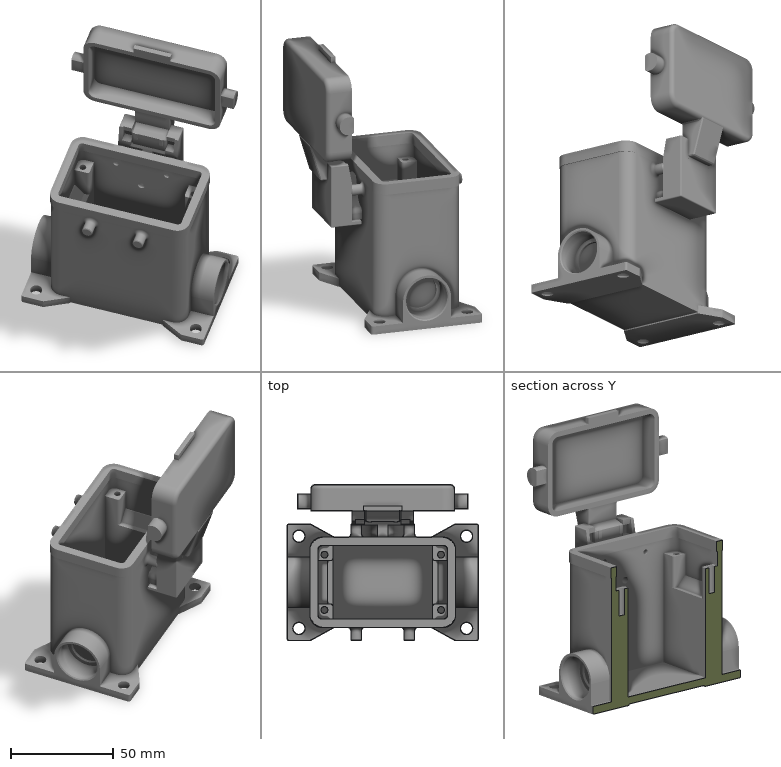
import cadquery as cq

box_length = 70.2
box_depth = 44.1
box_bottom = 0.7
box_corner_radius = 6.2
housing_top = 73.0
rim_bottom = 67.6
rim_length = 71.2
rim_depth = 44.3
floor_thickness = 4.0

mouth_length = 63.1
mouth_depth = 35.8
mouth_corner_radius = 1.9
cavity_relief = 0.4
cavity_corner_radius = 3.0

post_inner_x = 24.4
post_width_y = 7.3
post_top = 60.5
post_corner_radius = 1.2
post_hole_diameter = 3.3
post_hole_depth = 13.2
post_hole_x = 28.5
post_hole_y = 13.5
ledge_height = 44.5
ledge_slope_start_x = 26.9
ledge_wall_height = 49.5

foot_end_x = 46.8
foot_half_depth = 28.5
foot_thickness = 4.2
foot_shoulder_x = 35.4
foot_root_x = 23.7
foot_corner_radius = 1.0
foot_hole_diameter = 5.8
foot_hole_x = 41.0
foot_hole_y = 22.5

entry_radius = 12.3
entry_height = 15.2
entry_bore_radius = 10.6
entry_bore_depth = 11.7
entry_bore_chamfer = 0.5
knockout_radius = 8.6
knockout_depth = 1.3

peg_x = 13.0
peg_height = 63.5
peg_radius = 2.6
peg_root_fillet = 1.5
peg_end_chamfer = 0.4
peg_hole_diameter = 2.6

bracket_half_width = 15.1
bracket_back_y = 39.0
bracket_front_y = 28.1
bracket_top_front_y = 30.1
bracket_top = 77.6
bracket_bottom = 45.8
bracket_shelf = 67.2
bracket_toe_y = 23.3
bracket_toe_top = 47.7
bracket_wall = 1.9
bracket_edge_fillet = 0.5
ear_front_setback = 0.5
ear_pocket_bottom = 69.5
ear_pocket_top = 75.0
ear_pocket_back_y = 33.1
pad_crest_x = 2.5
pad_waist = (5.3, 59.0)
pad_flare_mid = (6.6, 55.5)
pad_shoulder = (9.8, 53.4)
pad_shoulder_mid = (11.5, 52.6)
pad_side = (12.3, 50.9)
pad_hole_diameter = 3.5
pad_hole_height = 51.5

lid_length = 70.2
lid_bottom = 86.1
lid_top = 129.5
lid_front_y = 34.8
lid_back_y = 47.7
lid_wall = 2.6
lid_corner_radius = 6.1
lid_recess_depth = 9.5
lid_back_fillet = 2.1
tab_width = 19.0
tab_thickness = 2.4
overall_height = 132.5
lug_end_x = 41.6
lug_radius = 4.6
lug_y = 38.5
lug_flat_y = 35.9
tongue_width = 17.8
tongue_foot = 68.5
tongue_foot_back_y = 42.3
tongue_back_top = 86.8
tongue_front_y = 35.5
tongue_step_z = 77.2
tongue_bend_y = 32.3
tongue_bend_z = 76.5
tongue_nose_y = 29.7
tongue_nose_z = 75.7
tongue_toe_y = 30.1
tongue_nose_chamfer = 0.8
tongue_root_flare = 0.7
nose_rib_inner_x = 5.5
nose_rib_outer_x = 7.3
nose_rib_front_y = 29.4
nose_rib_bottom = 71.3
tongue_edge_chamfer = 0.5

lid_height = lid_top - lid_bottom
lid_centre_z = (lid_top + lid_bottom) / 2
front_wall_y = -box_depth / 2
rear_wall_y = box_depth / 2
wall_thickness_y = (box_depth - mouth_depth) / 2


def block(x_range, y_range, z_range):
    """Box between the given X, Y and Z limits."""
    size = [high - low for low, high in (x_range, y_range, z_range)]
    return cq.Workplane("XY").box(*size, centered=False).translate((x_range[0], y_range[0], z_range[0]))


def rounded_box(length, depth, bottom, top, radius):
    """Upright box centred on the Z axis with rounded vertical corners."""
    shape = cq.Workplane("XY", origin=(0, 0, bottom)).rect(length, depth).extrude(top - bottom)
    return shape.edges("|Z").fillet(radius)


def y_cylinder(x, z, diameter, start_y, length):
    """Cylinder that runs from start_y toward +Y."""
    return cq.Workplane("XZ", origin=(x, start_y, z)).circle(diameter / 2).extrude(-length)


def side_profile(points, half_width):
    """Prism of a (Y, Z) outline, centred on X = 0."""
    return cq.Workplane("YZ").polyline(points).close().extrude(half_width, both=True)


def make_foot():
    """Mounting foot at the +X end."""
    corners = [
        (foot_end_x, -foot_half_depth),
        (foot_end_x, foot_half_depth),
        (foot_shoulder_x, foot_half_depth),
        (foot_root_x, rear_wall_y),
        (foot_root_x, front_wall_y),
        (foot_shoulder_x, -foot_half_depth),
    ]
    foot = cq.Workplane("XY").polyline(corners).close().extrude(foot_thickness)
    foot = foot.edges("|Z").edges("(>X) or (>Y) or (<Y)").fillet(foot_corner_radius)
    holes = cq.Workplane("XY").pushPoints([(foot_hole_x, foot_hole_y), (foot_hole_x, -foot_hole_y)])
    return foot.cut(holes.circle(foot_hole_diameter / 2).extrude(foot_thickness))


def make_entry():
    """Arched cable entry at the +X end."""
    arch = (
        cq.Workplane("YZ", origin=(post_inner_x, 0, 0))
        .moveTo(-entry_radius, 0)
        .lineTo(-entry_radius, entry_height)
        .threePointArc((0, entry_height + entry_radius), (entry_radius, entry_height))
        .lineTo(entry_radius, 0)
        .close()
    )
    return arch.extrude(foot_end_x - post_inner_x)


def make_entry_bore():
    """Stepped blind bore of the +X cable entry."""
    bore_end = foot_end_x - entry_bore_depth
    profile = [
        (foot_end_x, 0),
        (foot_end_x, entry_bore_radius + entry_bore_chamfer),
        (foot_end_x - entry_bore_chamfer, entry_bore_radius),
        (bore_end, entry_bore_radius),
        (bore_end, knockout_radius),
        (bore_end - knockout_depth, knockout_radius),
        (bore_end - knockout_depth, 0),
    ]
    bore = cq.Workplane("XZ").polyline(profile).close().revolve(360, (0, 0, 0), (1, 0, 0))
    return bore.translate((0, 0, entry_height))


def make_cavity():
    """Space inside the box, down to the floor."""
    mouth = rounded_box(mouth_length, mouth_depth, rim_bottom, housing_top, mouth_corner_radius)
    return mouth.union(
        rounded_box(
            mouth_length + 2 * cavity_relief,
            mouth_depth + 2 * cavity_relief,
            box_bottom + floor_thickness,
            rim_bottom,
            cavity_corner_radius,
        )
    )


def make_end_fitting():
    """Two screw posts joined by a sloped ledge at the +X end of the cavity."""
    wall_x = (mouth_length + box_length) / 4
    wall_y = (mouth_depth + box_depth) / 4
    ledge_outline = [
        (post_inner_x, box_bottom),
        (post_inner_x, ledge_height),
        (ledge_slope_start_x, ledge_height),
        (mouth_length / 2, ledge_wall_height),
        (wall_x, ledge_wall_height),
        (wall_x, box_bottom),
    ]
    fitting = cq.Workplane("XZ").polyline(ledge_outline).close().extrude(wall_y, both=True)
    post_inner_y = mouth_depth / 2 - post_width_y
    for side in (-1, 1):
        y_limits = sorted((side * post_inner_y, side * wall_y))
        post = block((post_inner_x, wall_x), y_limits, (ledge_height, post_top))
        inner_corner = "|Z and <X and >Y" if side < 0 else "|Z and <X and <Y"
        post = post.edges(inner_corner).fillet(post_corner_radius)
        hole = cq.Workplane("XY", origin=(post_hole_x, side * post_hole_y, post_top))
        fitting = fitting.union(post)
        fitting = fitting.cut(hole.circle(post_hole_diameter / 2).extrude(-post_hole_depth))
    return fitting


def make_peg():
    """Front peg with a concave root fillet, standing on the wall at X = +peg_x."""
    length = foot_half_depth - rear_wall_y
    root_radius = peg_radius + peg_root_fillet
    bend = peg_root_fillet * (1 - 0.5**0.5)
    profile = (
        cq.Workplane("XY")
        .moveTo(0, 0)
        .lineTo(root_radius, 0)
        .threePointArc((peg_radius + bend, -bend), (peg_radius, -peg_root_fillet))
        .lineTo(peg_radius, peg_end_chamfer - length)
        .lineTo(peg_radius - peg_end_chamfer, -length)
        .lineTo(0, -length)
        .close()
    )
    peg = profile.revolve(360, (0, 0, 0), (0, 1, 0))
    return peg.translate((peg_x, front_wall_y, peg_height))


def make_bracket_pad():
    """Flared pad that carries the bracket on the rear wall."""
    pad = (
        cq.Workplane("XZ", origin=(0, rear_wall_y, 0))
        .moveTo(pad_crest_x, bracket_shelf)
        .lineTo(*pad_waist)
        .threePointArc(pad_flare_mid, pad_shoulder)
        .threePointArc(pad_shoulder_mid, pad_side)
        .lineTo(pad_side[0], bracket_toe_top)
        .lineTo(0, bracket_toe_top)
        .lineTo(0, bracket_shelf)
        .close()
        .extrude(rear_wall_y - bracket_front_y)
    )
    return pad.union(pad.mirror("YZ"))


def make_bracket():
    """Hinge bracket with two pocketed ears either side of the lid tongue."""
    outline = [
        (bracket_back_y, bracket_bottom),
        (bracket_back_y, bracket_top),
        (bracket_top_front_y, bracket_top),
        (bracket_front_y, bracket_shelf),
        (bracket_front_y, bracket_toe_top),
        (bracket_toe_y, bracket_toe_top),
        (bracket_toe_y, bracket_bottom),
    ]
    bracket = side_profile(outline, bracket_half_width)
    bracket = bracket.edges("|X").edges(">Y").fillet(bracket_edge_fillet)
    bracket = bracket.faces("<X or >X").edges(">Y or >Z or <Z").fillet(bracket_edge_fillet)
    slot_half = tongue_width / 2
    slot = block(
        (-slot_half, slot_half), (bracket_front_y, bracket_back_y), (bracket_shelf, bracket_top)
    )
    bracket = bracket.cut(slot)
    ear_outer = bracket_half_width - bracket_wall
    for x_limits in ((-ear_outer, -slot_half), (slot_half, ear_outer)):
        setback = block(
            x_limits,
            (bracket_front_y, bracket_top_front_y + ear_front_setback),
            (ear_pocket_bottom, bracket_top),
        )
        pocket = block(
            x_limits, (bracket_front_y, ear_pocket_back_y), (ear_pocket_bottom, ear_pocket_top)
        )
        bracket = bracket.cut(setback).cut(pocket)
    return bracket.union(make_bracket_pad())


def make_housing():
    """Box with feet, cable entries, pegs and the hinge bracket."""
    housing = rounded_box(box_length, box_depth, box_bottom, housing_top, box_corner_radius)
    housing = housing.union(
        rounded_box(rim_length, rim_depth, rim_bottom, housing_top, box_corner_radius)
    )
    foot = make_foot()
    entry = make_entry()
    bore = make_entry_bore()
    fitting = make_end_fitting()
    peg = make_peg()

    housing = housing.union(entry).union(entry.mirror("YZ"))
    housing = housing.union(foot).union(foot.mirror("YZ"))
    housing = housing.cut(make_cavity())
    housing = housing.union(fitting).union(fitting.mirror("YZ"))
    housing = housing.cut(bore).cut(bore.mirror("YZ"))

    front_pegs = peg.union(peg.mirror("YZ"))
    housing = housing.union(front_pegs).union(front_pegs.mirror("XZ"))
    housing = housing.union(make_bracket())

    hole_start = mouth_depth / 2
    for x in (-peg_x, peg_x):
        housing = housing.cut(y_cylinder(x, peg_height, peg_hole_diameter, hole_start, wall_thickness_y))
    return housing.cut(y_cylinder(0, pad_hole_height, pad_hole_diameter, hole_start, wall_thickness_y))


def make_tongue():
    """Tapered tongue that hangs from the lid into the bracket slot."""
    embedded_top = lid_bottom + lid_wall
    outline = [
        (lid_back_y - lid_back_fillet, embedded_top),
        (lid_back_y, tongue_back_top),
        (tongue_foot_back_y, tongue_foot),
        (bracket_back_y, tongue_foot),
        (bracket_back_y, bracket_shelf),
        (tongue_toe_y, bracket_shelf),
        (tongue_nose_y, tongue_nose_z),
        (tongue_bend_y, tongue_bend_z),
        (tongue_front_y, tongue_step_z),
        (tongue_front_y, embedded_top),
    ]
    half_width = tongue_width / 2
    tongue = side_profile(outline, half_width)

    back_slope = cq.selectors.BoxSelector(
        (-tongue_width, bracket_back_y + tongue_edge_chamfer, tongue_foot - tongue_edge_chamfer),
        (tongue_width, lid_back_y, tongue_back_top),
    )
    tongue = tongue.edges(back_slope).chamfer(tongue_edge_chamfer)

    nose_sides = cq.selectors.BoxSelector(
        (-tongue_width, tongue_nose_y - tongue_nose_chamfer, bracket_shelf),
        (tongue_width, tongue_front_y - tongue_nose_chamfer, tongue_step_z),
    )
    tongue = tongue.edges(nose_sides).edges("not |X").chamfer(tongue_nose_chamfer)

    for x_limits in ((-nose_rib_outer_x, -nose_rib_inner_x), (nose_rib_inner_x, nose_rib_outer_x)):
        rib = block(x_limits, (nose_rib_front_y, tongue_bend_y), (nose_rib_bottom, tongue_nose_z))
        tongue = tongue.union(rib)

    flare_outline = [
        (half_width, lid_bottom - tongue_root_flare),
        (half_width + tongue_root_flare, lid_bottom),
        (-half_width - tongue_root_flare, lid_bottom),
        (-half_width, lid_bottom - tongue_root_flare),
    ]
    flare = cq.Workplane("XZ", origin=(0, tongue_front_y, 0)).polyline(flare_outline).close()
    return tongue.union(flare.extrude(tongue_front_y - lid_back_y + lid_back_fillet))


def make_lid():
    """Lid standing open, with tab, side lugs and hinge tongue."""
    face = cq.Workplane("XZ", origin=(0, lid_front_y, lid_centre_z))
    lid = face.rect(lid_length, lid_height).extrude(lid_front_y - lid_back_y)
    lid = lid.edges("|Y").fillet(lid_corner_radius)
    lid = lid.faces(">Y").edges().fillet(lid_back_fillet)

    tab = block(
        (-tab_width / 2, tab_width / 2),
        (lid_front_y, lid_front_y + tab_thickness),
        (lid_top - lid_wall, overall_height),
    )
    lug_bar = cq.Workplane("YZ", origin=(0, lug_y, lid_centre_z)).circle(lug_radius)
    lug_bar = lug_bar.extrude(lug_end_x, both=True)
    lug_bar = lug_bar.cut(
        block(
            (-lug_end_x, lug_end_x),
            (lug_y - lug_radius, lug_flat_y),
            (lid_centre_z - lug_radius, lid_centre_z + lug_radius),
        )
    )
    lid = lid.union(tab).union(lug_bar).union(make_tongue())

    recess = face.rect(lid_length - 2 * lid_wall, lid_height - 2 * lid_wall).extrude(-lid_recess_depth)
    return lid.cut(recess.edges("|Y").fillet(lid_corner_radius - lid_wall))


housing = make_housing()
lid = make_lid()

result = cq.Compound.makeCompound([housing.val(), lid.val()])